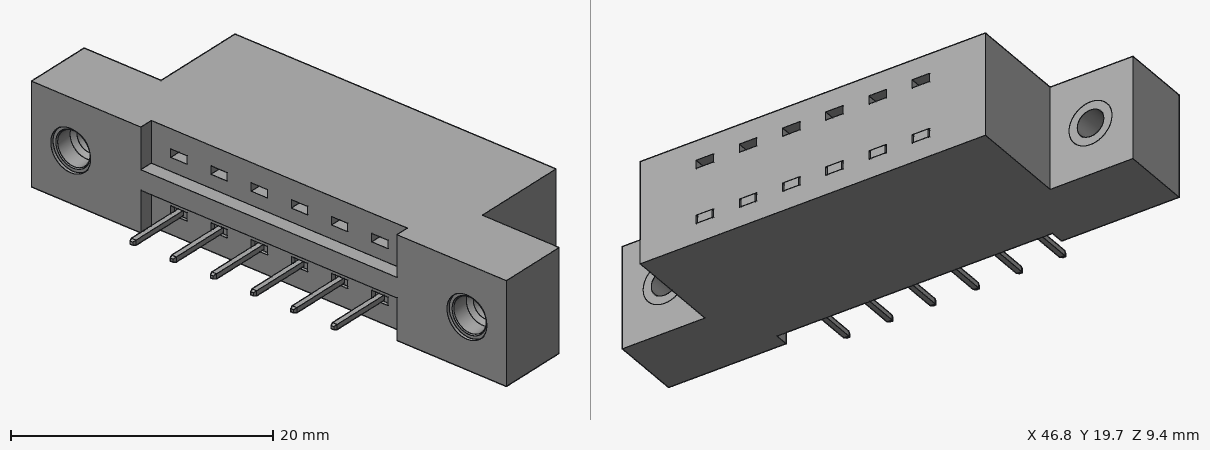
import cadquery as cq


LENGTH = 46.8
HEIGHT = 9.4
FLANGE_DEPTH = 6.35
BODY_LENGTH = 31.65
BODY_DEPTH = 15.25

RECESS_LENGTH = 25.2
RECESS_DEPTH = 1.25
RIB_HEIGHT = 1.82
RECESS_HEIGHT = (HEIGHT - RIB_HEIGHT) / 2

CONTACT_COUNT = 6
ROW_LENGTH = 19.8
PITCH = ROW_LENGTH / (CONTACT_COUNT - 1)
ROW_OFFSET = 2.55
SLOT_WIDTH = 1.6
SLOT_HEIGHT = 0.75
CONTACT_XS = [i * PITCH - ROW_LENGTH / 2 for i in range(CONTACT_COUNT)]

BLADE_WIDTH = 1.3
TAIL_SIDE = 0.45
TAIL_LENGTH = 4.45
BLADE_SETBACK = 0.3
TIP_LENGTH = 0.3
TIP_SIDE = 0.3

BUSHING_X = 19.5
BUSHING_DIAMETER = 3.95
BUSHING_SETBACK = 0.3
BORE_DIAMETER = 3.2
LIP_CHAMFER = 0.1
BORE_END = 1.85
THROAT_DIAMETER = 2.45
CONE_LENGTH = (BORE_DIAMETER - THROAT_DIAMETER) / 2
BUSHING_XS = [-BUSHING_X, BUSHING_X]


def block(x_size, y_start, y_end, z_size, x=0, z=0):
    """Box centred on (x, z) that runs from y_start to y_end."""
    middle = (x, (y_start + y_end) / 2, z)
    return cq.Workplane("XY").box(x_size, y_end - y_start, z_size).translate(middle)


def rod(diameter, y_start, y_end, x):
    """Cylinder along Y from y_start to y_end."""
    return cq.Workplane("XZ", origin=(x, y_start, 0)).circle(diameter / 2).extrude(y_start - y_end)


def taper(start_diameter, end_diameter, y_start, length, x):
    """Cone frustum along Y from y_start."""
    return (
        cq.Workplane("XZ", origin=(x, y_start, 0))
        .circle(start_diameter / 2)
        .workplane(offset=-length)
        .circle(end_diameter / 2)
        .loft()
    )


def make_housing():
    """Body with two mounting ears and two rows of slots."""
    ears = block(LENGTH, 0, FLANGE_DEPTH, HEIGHT)
    body = block(BODY_LENGTH, 0, BODY_DEPTH, HEIGHT)
    housing = ears.union(body)

    recess_z = (RIB_HEIGHT + RECESS_HEIGHT) / 2
    for side in (-1, 1):
        housing = housing.cut(block(RECESS_LENGTH, 0, RECESS_DEPTH, RECESS_HEIGHT, z=side * recess_z))
        for x in CONTACT_XS:
            housing = housing.cut(block(SLOT_WIDTH, 0, BODY_DEPTH, SLOT_HEIGHT, x, side * ROW_OFFSET))

    for x in BUSHING_XS:
        housing = housing.cut(rod(BUSHING_DIAMETER, 0, FLANGE_DEPTH, x))
    return housing


def make_bushing(x):
    """Sleeve with a chamfered lip, whose bore narrows through a cone to a smaller throat."""
    sleeve = rod(BUSHING_DIAMETER, BUSHING_SETBACK, FLANGE_DEPTH, x)
    bore = rod(BORE_DIAMETER, BUSHING_SETBACK, BORE_END, x)
    throat = rod(THROAT_DIAMETER, BUSHING_SETBACK, FLANGE_DEPTH, x)
    cone = taper(BORE_DIAMETER, THROAT_DIAMETER, BORE_END, CONE_LENGTH, x)
    lip = taper(BORE_DIAMETER + 2 * LIP_CHAMFER, BORE_DIAMETER, BUSHING_SETBACK, LIP_CHAMFER, x)
    return sleeve.cut(bore).cut(cone).cut(throat).cut(lip)


def make_contact(x):
    """Flat blade filling the slot height, with a square tail and a tapered tip."""
    blade_end = RECESS_DEPTH + BLADE_SETBACK
    blade = block(BLADE_WIDTH, blade_end, BODY_DEPTH, SLOT_HEIGHT, x, -ROW_OFFSET)
    taper_start = TIP_LENGTH - TAIL_LENGTH
    tail = block(TAIL_SIDE, taper_start, blade_end, TAIL_SIDE, x, -ROW_OFFSET)
    tip = (
        cq.Workplane("XZ", origin=(x, taper_start, -ROW_OFFSET))
        .rect(TAIL_SIDE, TAIL_SIDE)
        .workplane(offset=TIP_LENGTH)
        .rect(TIP_SIDE, TIP_SIDE)
        .loft()
    )
    return blade.union(tail).union(tip)


housing = make_housing()
bushings = [make_bushing(x).val() for x in BUSHING_XS]
contacts = [make_contact(x).val() for x in CONTACT_XS]

result = cq.Compound.makeCompound([housing.val(), *bushings, *contacts])